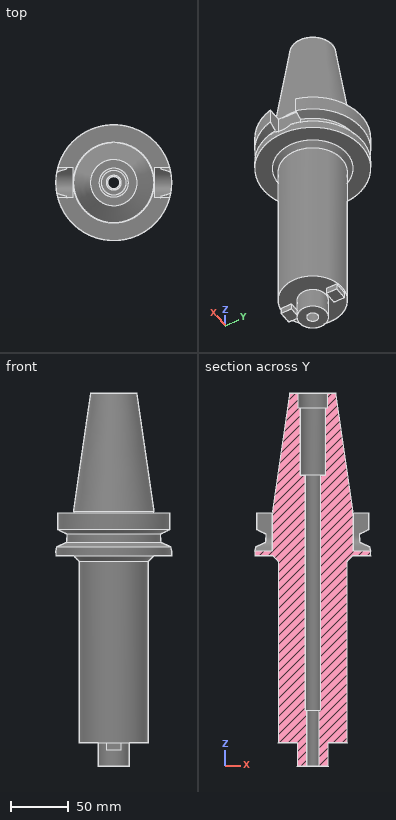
import cadquery as cq

total_height = 321.8
taper_length = 102.3
gauge_z = total_height - taper_length
neck_height = 1.0
flange_top_z = gauge_z - neck_height
flange_height = 37.0
flange_bottom_z = flange_top_z - flange_height
flare_height = 4.8
pilot_height = 20.3

taper_ratio = 7 / 24
gauge_diameter = 69.8
gauge_radius = gauge_diameter / 2
taper_top_radius = gauge_radius - taper_length * taper_ratio / 2
flange_diameter = 100.0
flange_radius = flange_diameter / 2
groove_radius = 42.5
neck_radius = 34.5
flare_radius = 34.8
body_radius = 30.0
pilot_radius = 13.5

upper_rim_height = 14.5
lower_rim_height = 7.7
groove_side_height = 4.0

slot_width = 25.7
slot_depth = 32.8
slot_floor_x = 35.0

key_width = 12.5
key_inner_y = 17.7
key_outer_y = 28.3
key_height = 6.0

bore_steps = [(12.5, 13.0), (10.5, 70.8), (6.5, 273.5), (5.0, total_height)]


def make_revolved_body():
    upper_rim_z = flange_top_z - upper_rim_height
    lower_rim_z = flange_bottom_z + lower_rim_height
    outline = [
        (0, 0),
        (pilot_radius, 0),
        (pilot_radius, pilot_height),
        (body_radius, pilot_height),
        (body_radius, flange_bottom_z - flare_height),
        (flare_radius, flange_bottom_z),
        (flange_radius, flange_bottom_z),
        (flange_radius, lower_rim_z),
        (groove_radius, lower_rim_z + groove_side_height),
        (groove_radius, upper_rim_z - groove_side_height),
        (flange_radius, upper_rim_z),
        (flange_radius, flange_top_z),
        (neck_radius, flange_top_z),
        (neck_radius, gauge_z),
        (gauge_radius, gauge_z),
        (taper_top_radius, total_height),
        (0, total_height),
    ]
    return cq.Workplane("XZ").polyline(outline).close().revolve(360, (0, 0), (0, 1))


def make_drive_slot(side):
    """Round-bottomed slot cutter on the side of the given X sign."""
    half_width = slot_width / 2
    arc_center_z = flange_top_z - slot_depth + half_width
    return (
        cq.Workplane("YZ", origin=(side * slot_floor_x, 0, 0))
        .moveTo(-half_width, flange_top_z)
        .lineTo(-half_width, arc_center_z)
        .threePointArc((0, flange_top_z - slot_depth), (half_width, arc_center_z))
        .lineTo(half_width, flange_top_z)
        .close()
        .extrude(side * flange_radius)
    )


def make_drive_key(side):
    """Rectangular key on the side of the given Y sign."""
    center_y = side * (key_inner_y + key_outer_y) / 2
    return (
        cq.Workplane("XY", origin=(0, center_y, pilot_height - key_height))
        .rect(key_width, key_outer_y - key_inner_y)
        .extrude(key_height)
    )


def make_bore_step(radius, depth):
    return cq.Workplane("XY", origin=(0, 0, total_height - depth)).circle(radius).extrude(depth)


result = make_revolved_body()
for side in (-1, 1):
    result = result.cut(make_drive_slot(side)).union(make_drive_key(side))
for radius, depth in bore_steps:
    result = result.cut(make_bore_step(radius, depth))